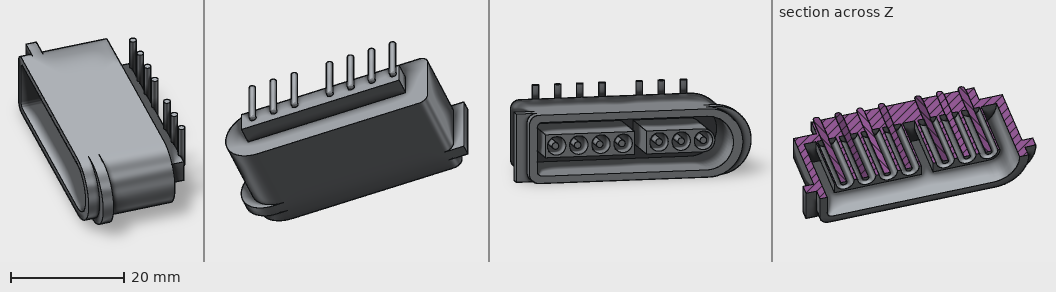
import cadquery as cq

FLANGE_LENGTH = 42.45
HEIGHT = 12.25
MID_Z = HEIGHT / 2
FLANGE_FRONT = 2.05
FLANGE_THICKNESS = 1.95
FLANGE_OVERHANG = 1.95
SHELL_DEPTH = 16.1
SHELL_CORNER = 1.7

WALL = 1.3
CAVITY_LEFT = 3.35
CAVITY_RIGHT = 38.8
CAVITY_CORNER = 0.95
BACK_WALL = 2.0
CAVITY_FLOOR = SHELL_DEPTH - BACK_WALL

PLUG_HEIGHT = 4.1
PLUG_FRONT = 2.85
SQUARE_PLUG_LEFT = 5.47
SQUARE_PLUG_RIGHT = 21.55
ROUND_PLUG_LEFT = 23.7
SOCKET_DIAMETER = 3.3
SQUARE_PLUG_SOCKET_SHIFT = 0.2

BLOCK_LEFT = 6.15
BLOCK_RIGHT = 36.2
BLOCK_BACK = 19.2

PIN_DIAMETER = 1.2
PIN_RADIUS = PIN_DIAMETER / 2
PIN_TOP = 14.15
PIN_BACK = 20.1
PIN_LEG_Y = PIN_BACK - PIN_RADIUS
SQUARE_PLUG_PIN_COUNT = 4
ROUND_PLUG_PIN_COUNT = 3
SQUARE_PLUG_FIRST_PIN = 7.25
SQUARE_PLUG_LAST_PIN = 19.25
PIN_PITCH = (SQUARE_PLUG_LAST_PIN - SQUARE_PLUG_FIRST_PIN) / (SQUARE_PLUG_PIN_COUNT - 1)
ROUND_PLUG_FIRST_PIN = 25.97
SQUARE_PLUG_PINS = [SQUARE_PLUG_FIRST_PIN + i * PIN_PITCH for i in range(SQUARE_PLUG_PIN_COUNT)]
ROUND_PLUG_PINS = [ROUND_PLUG_FIRST_PIN + i * PIN_PITCH for i in range(ROUND_PLUG_PIN_COUNT)]
PIN_POSITIONS = SQUARE_PLUG_PINS + ROUND_PLUG_PINS
ROUND_PLUG_RIGHT = ROUND_PLUG_PINS[-1] + PLUG_HEIGHT / 2


def rear_facing_plane(y):
    """XZ sketch plane at depth y, with X right and Z up; extrude by a negative length to go rearward."""
    return cq.Workplane("XZ", origin=(0, y, 0))


def bar(left, right, height, front, back):
    """Rectangular bar centred on the mid height."""
    return cq.Workplane("XY").box(right - left, back - front, height, centered=False).translate(
        (left, front, MID_Z - height / 2)
    )


def d_bar(left, right, height, front, back):
    """Bar with a square left end and a half-round right end, centred on the mid height."""
    radius = height / 2
    return (
        rear_facing_plane(front)
        .moveTo(left, MID_Z - radius)
        .lineTo(right - radius, MID_Z - radius)
        .threePointArc((right, MID_Z), (right - radius, MID_Z + radius))
        .lineTo(left, MID_Z + radius)
        .close()
        .extrude(front - back)
    )


def round_left_corners(body, radius):
    return body.edges("|Y and <X").fillet(radius)


def make_pin(x):
    """Right-angle pin: a rearward contact and an upright leg joined by a ball elbow."""
    contact = (
        rear_facing_plane(PLUG_FRONT)
        .center(x, MID_Z)
        .circle(PIN_RADIUS)
        .extrude(PLUG_FRONT - PIN_LEG_Y)
    )
    leg = (
        cq.Workplane("XY", origin=(x, PIN_LEG_Y, MID_Z))
        .circle(PIN_RADIUS)
        .extrude(PIN_TOP - MID_Z)
    )
    elbow = cq.Workplane("XY").sphere(PIN_RADIUS).translate((x, PIN_LEG_Y, MID_Z))
    return contact.union(leg).union(elbow)


def make_housing(pins):
    shell = d_bar(FLANGE_OVERHANG, FLANGE_LENGTH - FLANGE_OVERHANG, HEIGHT, 0, SHELL_DEPTH)
    shell = round_left_corners(shell, SHELL_CORNER)

    cavity = d_bar(CAVITY_LEFT, CAVITY_RIGHT, HEIGHT - 2 * WALL, 0, CAVITY_FLOOR)
    cavity = round_left_corners(cavity, CAVITY_CORNER)

    flange = d_bar(0, FLANGE_LENGTH, HEIGHT, FLANGE_FRONT, FLANGE_FRONT + FLANGE_THICKNESS)
    rear_block = bar(BLOCK_LEFT, BLOCK_RIGHT, PLUG_HEIGHT, SHELL_DEPTH, BLOCK_BACK)
    square_plug = bar(SQUARE_PLUG_LEFT, SQUARE_PLUG_RIGHT, PLUG_HEIGHT, PLUG_FRONT, CAVITY_FLOOR)
    round_plug = d_bar(ROUND_PLUG_LEFT, ROUND_PLUG_RIGHT, PLUG_HEIGHT, PLUG_FRONT, CAVITY_FLOOR)

    socket_positions = [x + SQUARE_PLUG_SOCKET_SHIFT for x in SQUARE_PLUG_PINS] + ROUND_PLUG_PINS
    sockets = (
        rear_facing_plane(PLUG_FRONT)
        .pushPoints([(x, MID_Z) for x in socket_positions])
        .circle(SOCKET_DIAMETER / 2)
        .extrude(PLUG_FRONT - CAVITY_FLOOR)
    )

    housing = shell.union(flange).cut(cavity).union(rear_block)
    housing = housing.union(square_plug).union(round_plug).cut(sockets)
    for pin in pins:
        housing = housing.cut(pin)
    return housing


pins = [make_pin(x) for x in PIN_POSITIONS]
housing = make_housing(pins)

result = cq.Compound.makeCompound([housing.solids().val(), *[pin.solids().val() for pin in pins]])